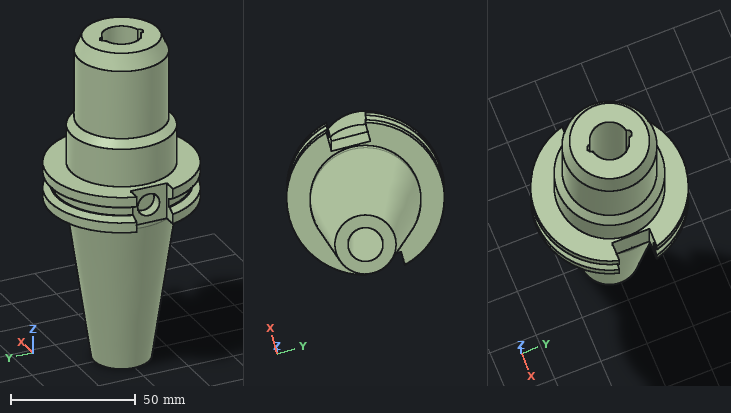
import cadquery as cq
import math

total_height = 144.5
gauge_height = 68.3
flange_bottom = 71.5
flange_thickness = 15.9
flange_top = flange_bottom + flange_thickness
flange_middle = flange_bottom + flange_thickness / 2

taper_ratio = 7 / 24
gauge_diameter = 44.5
small_end_diameter = gauge_diameter - taper_ratio * gauge_height

flange_diameter = 63.4
groove_floor_diameter = 56.3
groove_floor_width = 3.6
groove_mouth_width = 7.1
groove_flank_angle = 30
groove_flank_height = (groove_mouth_width - groove_floor_width) / 2
groove_flank_depth = groove_flank_height / math.tan(math.radians(groove_flank_angle))
groove_flank_root = flange_diameter / 2 - groove_flank_depth

nose_diameter = 38.1
tip_diameter = 32.0
tip_taper_height = 6.6
shoulder_height = 104.3
shoulder_chamfer = (gauge_diameter - nose_diameter) / 2

slot_width = 16.2
left_slot_floor = -25.0
right_slot_floor = 22.7

chip_hole_diameter = 9.7
chip_hole_depth = 5.0

bore_diameter = 16.0
bore_depth = 50.5
through_hole_diameter = 14.0
coolant_groove_diameter = 3.0


def turned_body():
    """Revolve the half profile of taper, flange and nose about Z."""
    profile = [
        (0, 0),
        (small_end_diameter / 2, 0),
        (gauge_diameter / 2, gauge_height),
        (gauge_diameter / 2, flange_bottom),
        (flange_diameter / 2, flange_bottom),
        (flange_diameter / 2, flange_middle - groove_mouth_width / 2),
        (groove_flank_root, flange_middle - groove_floor_width / 2),
        (groove_floor_diameter / 2, flange_middle - groove_floor_width / 2),
        (groove_floor_diameter / 2, flange_middle + groove_floor_width / 2),
        (groove_flank_root, flange_middle + groove_floor_width / 2),
        (flange_diameter / 2, flange_middle + groove_mouth_width / 2),
        (flange_diameter / 2, flange_top),
        (gauge_diameter / 2, flange_top),
        (gauge_diameter / 2, shoulder_height),
        (nose_diameter / 2, shoulder_height + shoulder_chamfer),
        (nose_diameter / 2, total_height - tip_taper_height),
        (tip_diameter / 2, total_height),
        (0, total_height),
    ]
    return cq.Workplane("XZ").polyline(profile).close().revolve(360, (0, 0), (0, 1))


def drive_slot(floor_x):
    """Block that clears the flange outward from the slot floor."""
    direction = 1 if floor_x > 0 else -1
    length = flange_diameter / 2
    return (
        cq.Workplane("XY", origin=(floor_x + direction * length / 2, 0, flange_bottom))
        .box(length, slot_width, flange_thickness, centered=(True, True, False))
    )


def chip_hole():
    """Radial blind hole running inward from the left slot floor."""
    return (
        cq.Workplane("YZ", origin=(left_slot_floor, 0, flange_middle))
        .circle(chip_hole_diameter / 2)
        .extrude(chip_hole_depth)
    )


def tool_bore():
    """Stepped axial bore with a coolant groove on its +Y and -Y walls."""
    through_hole = cq.Workplane("XY").circle(through_hole_diameter / 2).extrude(total_height)
    bore_floor = cq.Workplane("XY", origin=(0, 0, total_height - bore_depth))
    bore = bore_floor.circle(bore_diameter / 2).extrude(bore_depth)
    coolant_grooves = (
        bore_floor.pushPoints([(0, bore_diameter / 2), (0, -bore_diameter / 2)])
        .circle(coolant_groove_diameter / 2)
        .extrude(bore_depth)
    )
    return through_hole.union(bore).union(coolant_grooves)


result = turned_body()
for slot_floor in (left_slot_floor, right_slot_floor):
    result = result.cut(drive_slot(slot_floor))
result = result.cut(chip_hole()).cut(tool_bore())